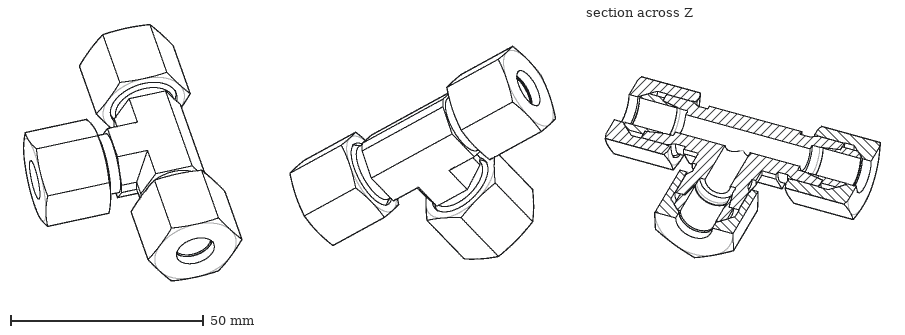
import cadquery as cq
import math

branch_angle = -90
port_angles = [0, 180, branch_angle]

body_flats = 17.0
side_flat_width = 3.0
shoulder_x = 13.0
bore_dia = 7.0

thread_dia = 18.0
undercut_dia = 15.7
undercut_end_x = 15.7
runout_angle = 30.0
stem_end_x = 25.0

tube_dia = 10.0
socket_depth = 7.5
socket_cone_half_angle = 12.0
socket_mouth_dia = 12.3

nut_flats = 22.0
nut_end_x = 34.0
nut_length = 17.5
nut_bore_dia = 10.2
nut_bore_length = 2.5
nut_chamfer_angle = 15.0

ring_collar_dia = 15.0
ring_setback = 0.5
ring_tip_gap = 0.9

thread_radius = thread_dia / 2
undercut_radius = undercut_dia / 2
tube_radius = tube_dia / 2
mouth_radius = socket_mouth_dia / 2
nut_bore_radius = nut_bore_dia / 2
collar_radius = ring_collar_dia / 2
socket_floor_x = stem_end_x - socket_depth
socket_cone_slope = math.tan(math.radians(socket_cone_half_angle))
socket_cone_x = stem_end_x - (mouth_radius - tube_radius) / socket_cone_slope
thread_start_x = undercut_end_x + (thread_radius - undercut_radius) / math.tan(math.radians(runout_angle))
nut_start_x = nut_end_x - nut_length
nut_bore_start_x = nut_end_x - nut_bore_length
ring_end_x = nut_bore_start_x - ring_setback
ring_end_radius = nut_bore_radius + ring_setback


def across_corners(flats):
    return flats / math.cos(math.radians(30))


def revolve_about_x(profile):
    """Revolve (x, radius) points about the X axis."""
    return cq.Workplane("XY").polyline(profile).close().revolve(360, (0, 0, 0), (1, 0, 0))


def turn_to_port(shape, angle):
    return shape.rotate((0, 0, 0), (0, 0, 1), angle)


def make_bar(start_x, end_x):
    """Hexagonal bar along X, flat on top, with its side corners cut to narrow flats."""
    bar_width = across_corners(body_flats) - side_flat_width * math.tan(math.radians(30))
    length = end_x - start_x
    hexagon = cq.Workplane("YZ", origin=(start_x, 0, 0)).polygon(6, across_corners(body_flats)).extrude(length)
    side_cut = cq.Workplane("YZ", origin=(start_x, 0, 0)).rect(bar_width, body_flats).extrude(length)
    return hexagon.intersect(side_cut)


def make_stem():
    """Threaded stem outside, with the undercut next to the shoulder."""
    return revolve_about_x([
        (0, 0),
        (0, undercut_radius),
        (undercut_end_x, undercut_radius),
        (thread_start_x, thread_radius),
        (stem_end_x, thread_radius),
        (stem_end_x, 0),
    ])


def make_socket():
    """Flow bore, tube socket and 24 degree cone, as one cutting tool."""
    bore_radius = bore_dia / 2
    return revolve_about_x([
        (0, 0),
        (0, bore_radius),
        (socket_floor_x, bore_radius),
        (socket_floor_x, tube_radius),
        (socket_cone_x, tube_radius),
        (stem_end_x, mouth_radius),
        (stem_end_x, 0),
    ])


def make_body():
    body = make_bar(-shoulder_x, shoulder_x)
    body = body.union(turn_to_port(make_bar(0, shoulder_x), branch_angle))
    for angle in port_angles:
        body = body.union(turn_to_port(make_stem(), angle))
    for angle in port_angles:
        body = body.cut(turn_to_port(make_socket(), angle))
    return body


def make_nut(angle):
    """Union nut with both ends chamfered and a 45 degree cone bearing on the cutting ring."""
    corner_radius = across_corners(nut_flats) / 2
    flat_radius = nut_flats / 2
    chamfer_length = (corner_radius - flat_radius) * math.tan(math.radians(nut_chamfer_angle))
    hexagon = (
        cq.Workplane("YZ", origin=(nut_start_x, 0, 0))
        .polygon(6, across_corners(nut_flats))
        .extrude(nut_length)
    )
    chamfered_blank = revolve_about_x([
        (nut_start_x, 0),
        (nut_start_x, flat_radius),
        (nut_start_x + chamfer_length, corner_radius),
        (nut_end_x - chamfer_length, corner_radius),
        (nut_end_x, flat_radius),
        (nut_end_x, 0),
    ])
    cavity = revolve_about_x([
        (nut_start_x, 0),
        (nut_start_x, thread_radius),
        (nut_bore_start_x - (thread_radius - nut_bore_radius), thread_radius),
        (nut_bore_start_x, nut_bore_radius),
        (nut_end_x, nut_bore_radius),
        (nut_end_x, 0),
    ])
    nut = hexagon.intersect(chamfered_blank).cut(cavity)
    if angle == branch_angle:
        nut = nut.rotate((0, 0, 0), (1, 0, 0), 90)
    return turn_to_port(nut, angle)


def make_cutting_ring(angle):
    """Ring wedged into the socket cone, its collar held by the cone in the nut."""
    tip_x = socket_cone_x + ring_tip_gap
    tip_radius = tube_radius + ring_tip_gap * socket_cone_slope
    ring = revolve_about_x([
        (tip_x, tube_radius),
        (tip_x, tip_radius),
        (stem_end_x, mouth_radius),
        (stem_end_x, collar_radius),
        (ring_end_x - (collar_radius - ring_end_radius), collar_radius),
        (ring_end_x, ring_end_radius),
        (ring_end_x, tube_radius),
    ])
    return turn_to_port(ring, angle)


body = make_body()
nuts = [make_nut(angle) for angle in port_angles]
cutting_rings = [make_cutting_ring(angle) for angle in port_angles]

result = cq.Compound.makeCompound([
    body.solids().val(),
    *[nut.solids().val() for nut in nuts],
    *[ring.solids().val() for ring in cutting_rings],
])